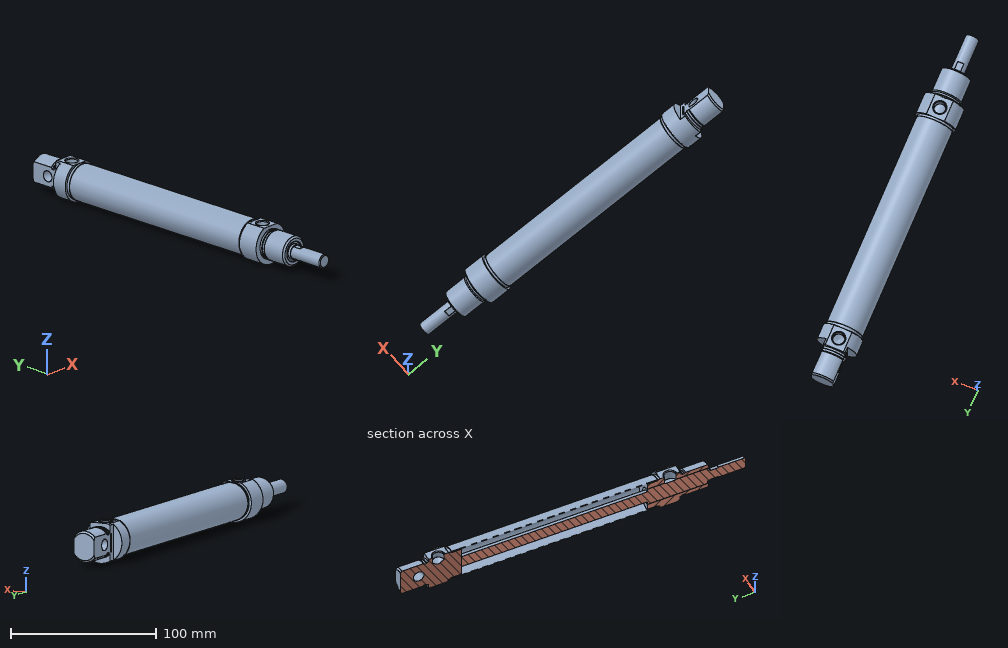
import cadquery as cq
import math

length = 265.0

lip_y = 27.0
nose_end_y = 28.0
front_cap_y = 50.0
front_neck_y = 65.7
tube_front_y = 67.5
tube_rear_y = 225.8
rear_neck_y = 228.2
rear_cap_y = 243.5

cap_dia = 30.0
neck_dia = 26.5
thread_dia = 22.0
relief_dia = 20.5
end_chamfer_dia = 19.0
end_chamfer_length = 0.4

collar_length = 0.6
relief_length = 0.6
relief_taper = 0.3

tube_dia = 27.0
bore_dia = 25.0
spigot_length = 8.0

port_flat_width = 13.5
port_flat_z = math.sqrt((cap_dia / 2) ** 2 - (port_flat_width / 2) ** 2)
port_dia = 8.5
port_mouth_dia = 9.8
drill_tip_angle = 118.0
rear_port_depth = 5.3

rod_bore_dia = 14.0
bore_mouth_dia = 14.8
bore_mouth_depth = 0.5

rod_dia = 10.0
rod_tip_dia = 8.5
rod_chamfer = 0.5
core_recess = 0.8
lip_base_dia = 11.0
lip_tip_dia = 10.5
wrench_flat_width = 9.0
wrench_flat_end_y = 21.0

clevis_width = 16.2
clevis_shoulder_y = 239.3
clevis_hole_dia = 8.0
clevis_hole_y = 251.0
notch_height = 12.7
notch_length = 0.8
notch_depth = 0.5
notch_end_y = 242.2


def turned(profile):
    """Solid of revolution about the Y axis from (diameter, y) corners that start and end on the axis."""
    corners = [(dia / 2, y) for dia, y in profile]
    return cq.Workplane("XY").polyline(corners).close().revolve(360, (0, 0, 0), (0, 1, 0))


def nose_profile(face_y, tip_y):
    """Corners of a relieved, end-chamfered thread that runs from a cap face to a nose tip."""
    way = 2.6 if tip_y > face_y else -2.6
    relief_y = face_y + way * collar_length
    taper_y = relief_y + way * relief_length
    return [
        (thread_dia, face_y),
        (thread_dia, relief_y),
        (relief_dia, relief_y),
        (relief_dia, taper_y),
        (thread_dia, taper_y + way * relief_taper),
        (thread_dia, tip_y - way * end_chamfer_length),
        (end_chamfer_dia, tip_y),
        (0, tip_y),
    ]


def cap_blank(tube_y, neck_y, face_y, tip_y):
    """Turned end cap: spigot inside the tube, neck, full-diameter body and nose, with the top flat cut."""
    way = 1 if tip_y > face_y else -1
    spigot_y = tube_y - way * spigot_length
    blank = turned(
        [
            (0, spigot_y),
            (bore_dia, spigot_y),
            (bore_dia, tube_y),
            (neck_dia, tube_y),
            (neck_dia, neck_y),
            (cap_dia, neck_y),
            (cap_dia, face_y),
        ]
        + nose_profile(face_y, tip_y)
    )
    above_flat = cq.Workplane("XY").box(cap_dia, abs(face_y - neck_y), cap_dia, centered=(True, True, False))
    return blank.cut(above_flat.translate((0, (neck_y + face_y) / 2, port_flat_z)))


def port(y, depth):
    """Drill-pointed port going down from the cap flat, with a 45 degree countersunk mouth."""
    drill = cq.Workplane("XY", origin=(0, y, port_flat_z)).circle(port_dia / 2).extrude(-depth)
    tip_run = port_dia / 2 / math.tan(math.radians(drill_tip_angle / 2))
    tip = cq.Solid.makeCone(port_dia / 2, 0, tip_run, cq.Vector(0, y, port_flat_z - depth), cq.Vector(0, 0, -1))
    mouth_run = (port_mouth_dia - port_dia) / 2
    mouth = cq.Solid.makeCone(
        port_mouth_dia / 2, port_dia / 2, mouth_run, cq.Vector(0, y, port_flat_z), cq.Vector(0, 0, -1)
    )
    return drill.union(cq.Workplane(tip)).union(cq.Workplane(mouth))


def make_front_cap():
    """Front cap whose port opens into the rod bore."""
    cap = cap_blank(tube_front_y, front_neck_y, front_cap_y, nose_end_y)
    cap = cap.cut(port((front_cap_y + front_neck_y) / 2, port_flat_z))
    inner_y = tube_front_y + spigot_length
    mouth_y = nose_end_y + bore_mouth_depth
    rod_bore = turned(
        [
            (0, nose_end_y),
            (bore_mouth_dia, nose_end_y),
            (rod_bore_dia, mouth_y),
            (rod_bore_dia, inner_y),
            (0, inner_y),
        ]
    )
    return cap.cut(rod_bore)


def make_rear_cap():
    """Rear cap with a blind port and a cross-drilled clevis, flat on both sides."""
    cap = cap_blank(tube_rear_y, rear_neck_y, rear_cap_y, length)
    cap = cap.cut(port((rear_neck_y + rear_cap_y) / 2, rear_port_depth))
    for side in (-1, 1):
        flat = cq.Workplane("XY").box(cap_dia, length - clevis_shoulder_y, cap_dia)
        cap = cap.cut(
            flat.translate((side * (clevis_width + cap_dia) / 2, (length + clevis_shoulder_y) / 2, 0))
        )
        notch = cq.Workplane("XY").box(2 * notch_depth, notch_length, notch_height)
        cap = cap.cut(notch.translate((side * clevis_width / 2, notch_end_y - notch_length / 2, 0)))
    hole = cq.Workplane("YZ", origin=(0, clevis_hole_y, 0)).circle(clevis_hole_dia / 2).extrude(cap_dia, both=True)
    return cap.cut(hole)


def make_tube():
    """Plain tube between the two cap necks."""
    tube_length = tube_rear_y - tube_front_y
    return (
        cq.Workplane("XZ", origin=(0, tube_front_y, 0)).circle(tube_dia / 2).circle(bore_dia / 2).extrude(-tube_length)
    )


def make_rod():
    """Chamfered rod with its core and lip, and two wrench flats just ahead of the lip."""
    core_start_y = nose_end_y + core_recess
    core_end_y = tube_front_y + spigot_length
    rod_end_y = tube_rear_y - spigot_length
    rod = turned(
        [
            (0, 0),
            (rod_tip_dia, 0),
            (rod_dia, rod_chamfer),
            (rod_dia, lip_y),
            (lip_tip_dia, lip_y),
            (lip_base_dia, core_start_y),
            (rod_bore_dia, core_start_y),
            (rod_bore_dia, core_end_y),
            (rod_dia, core_end_y),
            (rod_dia, rod_end_y),
            (0, rod_end_y),
        ]
    )
    flat_length = lip_y - wrench_flat_end_y
    for side in (-1, 1):
        cutter = cq.Workplane("XY").box(rod_dia, flat_length, rod_dia)
        rod = rod.cut(
            cutter.translate((0, (lip_y + wrench_flat_end_y) / 2, side * (wrench_flat_width + rod_dia) / 2))
        )
    return rod


front_cap = make_front_cap()
rear_cap = make_rear_cap()
tube = make_tube()
rod = make_rod()
result = cq.Compound.makeCompound([front_cap.val(), rear_cap.val(), tube.val(), rod.val()])